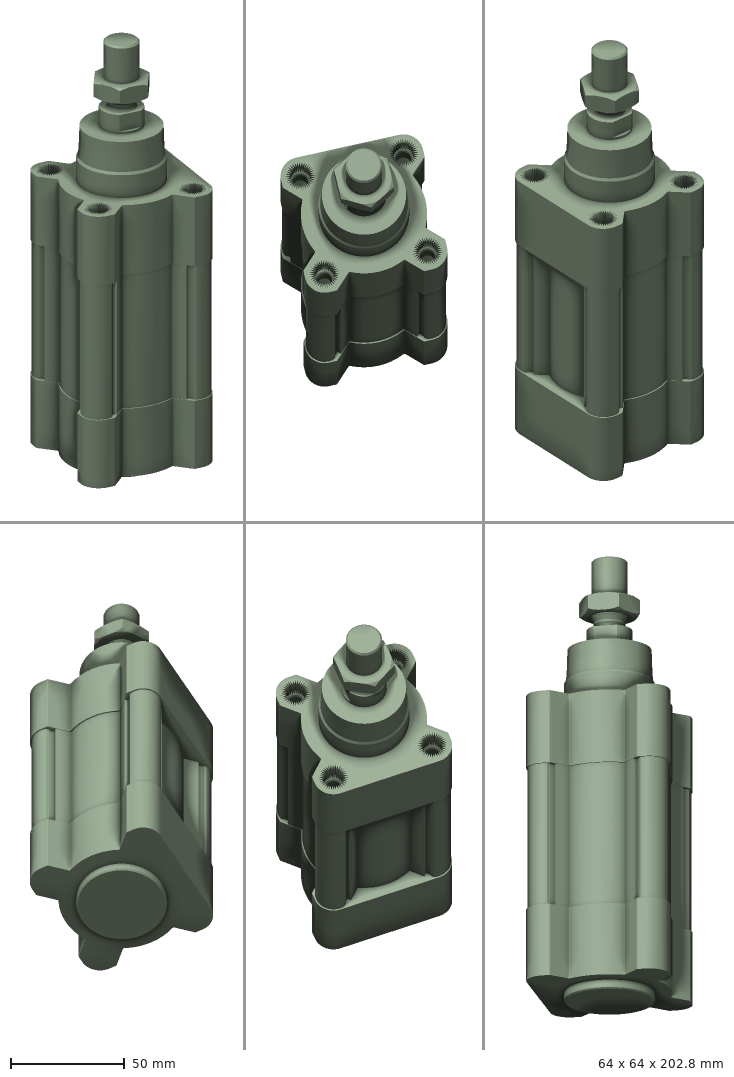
import cadquery as cq
import math

base_collar_top = 4.0
rear_head_top = 37.0
front_head_bottom = 102.0
front_head_top = 135.3
collar_top = 146.2
cap_bottom = 147.5
cap_top = 161.6
flats_bottom = 162.8
shoulder_top = 170.8
groove_top = 173.2
neck_top = 174.2
thread_bottom = 176.6
nut_bottom = 177.0
rod_top = 202.8

head_width = 64.0
head_radius = 27.8
screw_offset = 23.3
lug_radius = head_width / 2 - screw_offset
lug_angles = (45, 135, 225, 315)
head_corner_fillet = 0.8

tube_radius = 27.2
tube_lug_radius = 8.1
tube_lug_half_width = 8.5
tube_root_fillet = 0.6
slot_inner = 32.9
slot_outer = 35.5
slot_floor_half_width = 6.7
lip_half_width = 7.0

collar_diameter = 40.0
base_chamfer = 0.6
cap_bottom_diameter = 38.3
cap_top_diameter = 37.1

socket_diameter = 13.2
socket_tooth_diameter = 9.0
socket_teeth = 36
socket_depth = 8.1
pilot_mouth_diameter = 8.0
pilot_diameter = 6.7
pilot_depth = 16.2
drill_tip_angle = 118.0

shoulder_diameter = 20.0
shoulder_flats = 17.0
thread_diameter = 16.0
thread_end_diameter = 14.5
neck_diameter = 14.0
groove_diameter = 13.2

nut_flats = 24.0
nut_face_diameter = 24.3
nut_height = 8.0
nut_chamfer_angle = 30.0
hexagon_half_angle = 30.0


def cylinder(diameter, bottom, top):
    return cq.Workplane("XY").workplane(offset=bottom).circle(diameter / 2).extrude(top - bottom)


def head(bottom, top):
    """Barrel with four rounded corner lugs; the +Y side is filled flat between its lugs."""
    height = top - bottom
    plane = cq.Workplane("XY").workplane(offset=bottom)
    square = plane.rect(head_width, head_width).extrude(height).edges("|Z").fillet(lug_radius)
    lugs = plane.circle(head_radius).extrude(height)
    arm = plane.center(head_width / 2, 0).rect(head_width, 2 * lug_radius).extrude(height)
    for angle in lug_angles:
        lugs = lugs.union(arm.rotate((0, 0, 0), (0, 0, 1), angle))
    flat_side = plane.center(0, head_width / 4).rect(2 * screw_offset, head_width / 2).extrude(height)
    body = square.intersect(lugs).union(flat_side)

    root_x, root_y = lug_root(head_radius, lug_radius)
    outer = head_width / 2
    shoulder = outer - lug_radius * math.sqrt(2)
    for sx in (-1, 1):
        for x, y in (
            (root_x, root_y),
            (root_x, -root_y),
            (root_y, -root_x),
            (outer, shoulder),
            (outer, -shoulder),
            (shoulder, -outer),
        ):
            body = body.edges(near_vertical_edge(sx * x, y)).fillet(head_corner_fillet)
    return body


def lug_root(barrel_radius, half_width):
    """Point where the lower side of a 45 degree lug leaves the barrel."""
    along = math.sqrt(barrel_radius**2 - half_width**2)
    return (along + half_width) / math.sqrt(2), (along - half_width) / math.sqrt(2)


def near_vertical_edge(x, y):
    """Selector for the vertical edges within a small box around (x, y)."""
    reach = 0.1
    return cq.selectors.BoxSelector((x - reach, y - reach, 0), (x + reach, y + reach, rod_top))


def tube(bottom, top):
    """Round barrel with four slotted lugs that end in a rounded tip."""
    height = top - bottom
    plane = cq.Workplane("XY").workplane(offset=bottom)
    body = plane.circle(tube_radius).extrude(height)
    lug_center = math.hypot(screw_offset, screw_offset)
    tip = lug_center + math.sqrt(tube_lug_radius**2 - lip_half_width**2)
    lug = (
        plane.moveTo(0, -tube_lug_half_width)
        .lineTo(slot_inner, -tube_lug_half_width)
        .lineTo(slot_inner, -slot_floor_half_width)
        .lineTo(slot_outer, -slot_floor_half_width)
        .lineTo(slot_outer, -lip_half_width)
        .lineTo(tip, -lip_half_width)
        .threePointArc((lug_center + tube_lug_radius, 0), (tip, lip_half_width))
        .lineTo(slot_outer, lip_half_width)
        .lineTo(slot_outer, slot_floor_half_width)
        .lineTo(slot_inner, slot_floor_half_width)
        .lineTo(slot_inner, tube_lug_half_width)
        .lineTo(0, tube_lug_half_width)
        .close()
        .extrude(height)
    )
    for angle in lug_angles:
        body = body.union(lug.rotate((0, 0, 0), (0, 0, 1), angle))
    root_x, root_y = lug_root(tube_radius, tube_lug_half_width)
    for sx in (-1, 1):
        for sy in (-1, 1):
            for x, y in ((root_x, root_y), (root_y, root_x)):
                body = body.edges(near_vertical_edge(sx * x, sy * y)).fillet(tube_root_fillet)
    return body


def revolve(points):
    """Solid of revolution about Z from (radius, height) points."""
    return cq.Workplane("XZ").polyline(points).close().revolve(360, (0, 0, 0), (0, 1, 0))


def screw_socket():
    """Cutter for one socket: a ring of V teeth above a chamfered tapped hole with a drill tip."""
    outline = []
    for i in range(2 * socket_teeth):
        radius = (socket_tooth_diameter if i % 2 else socket_diameter) / 2
        angle = math.pi * i / socket_teeth
        outline.append((radius * math.cos(angle), radius * math.sin(angle)))
    floor = front_head_top - socket_depth
    teeth = cq.Workplane("XY").workplane(offset=floor).polyline(outline).close().extrude(socket_depth)

    mouth_chamfer = (pilot_mouth_diameter - pilot_diameter) / 2
    tip_height = pilot_diameter / 2 / math.tan(math.radians(drill_tip_angle / 2))
    pilot_bottom = front_head_top - pilot_depth
    pilot = revolve([
        (0, front_head_top),
        (pilot_mouth_diameter / 2, front_head_top),
        (pilot_mouth_diameter / 2, floor),
        (pilot_diameter / 2, floor - mouth_chamfer),
        (pilot_diameter / 2, pilot_bottom),
        (0, pilot_bottom - tip_height),
    ])
    return teeth.union(pilot)


def make_housing():
    """Base collar, rear head, tube, front head and bearing cap in one solid."""
    body = cylinder(collar_diameter, 0, base_collar_top).faces("<Z").chamfer(base_chamfer)
    body = body.union(head(base_collar_top, rear_head_top))
    body = body.union(tube(rear_head_top, front_head_bottom))
    body = body.union(head(front_head_bottom, front_head_top))
    nose = revolve([
        (0, front_head_top),
        (collar_diameter / 2, front_head_top),
        (collar_diameter / 2, collar_top),
        (cap_bottom_diameter / 2, cap_bottom),
        (cap_top_diameter / 2, cap_top),
        (0, cap_top),
    ])
    body = body.union(nose)
    socket = screw_socket()
    for x in (-screw_offset, screw_offset):
        for y in (-screw_offset, screw_offset):
            body = body.cut(socket.translate((x, y, 0)))
    return body


def make_rod():
    """Threaded rod with an undercut neck above a shoulder that carries two wrench flats."""
    end_chamfer = (thread_diameter - thread_end_diameter) / 2
    groove_middle = (groove_top + shoulder_top) / 2
    rod = (
        cq.Workplane("XZ")
        .moveTo(0, cap_top)
        .lineTo(shoulder_diameter / 2, cap_top)
        .lineTo(shoulder_diameter / 2, shoulder_top)
        .lineTo(neck_diameter / 2, shoulder_top)
        .threePointArc((groove_diameter / 2, groove_middle), (neck_diameter / 2, groove_top))
        .lineTo(neck_diameter / 2, neck_top)
        .lineTo(thread_diameter / 2, thread_bottom)
        .lineTo(thread_diameter / 2, rod_top - end_chamfer)
        .lineTo(thread_end_diameter / 2, rod_top)
        .lineTo(0, rod_top)
        .close()
        .revolve(360, (0, 0, 0), (0, 1, 0))
    )
    flats = (
        cq.Workplane("XY")
        .workplane(offset=flats_bottom)
        .rect(shoulder_flats, 2 * shoulder_diameter)
        .rect(4 * shoulder_flats, 2 * shoulder_diameter)
        .extrude(shoulder_top - flats_bottom)
    )
    return rod.cut(flats)


def make_nut():
    """Hexagon nut chamfered on both faces, with two corners on the Y axis."""
    corner_radius = nut_flats / 2 / math.cos(math.radians(hexagon_half_angle))
    nut_top = nut_bottom + nut_height
    hexagon = (
        cq.Workplane("XY")
        .workplane(offset=nut_bottom)
        .polygon(6, 2 * corner_radius)
        .extrude(nut_height)
        .rotate((0, 0, 0), (0, 0, 1), hexagon_half_angle)
    )
    drop = (corner_radius - nut_face_diameter / 2) * math.tan(math.radians(nut_chamfer_angle))
    chamfered_disc = revolve([
        (0, nut_bottom),
        (nut_face_diameter / 2, nut_bottom),
        (corner_radius, nut_bottom + drop),
        (corner_radius, nut_top - drop),
        (nut_face_diameter / 2, nut_top),
        (0, nut_top),
    ])
    return hexagon.intersect(chamfered_disc).cut(cylinder(thread_diameter, nut_bottom, nut_top))


housing = make_housing()
rod = make_rod()
nut = make_nut()
result = cq.Compound.makeCompound([housing.val(), rod.val(), nut.val()])